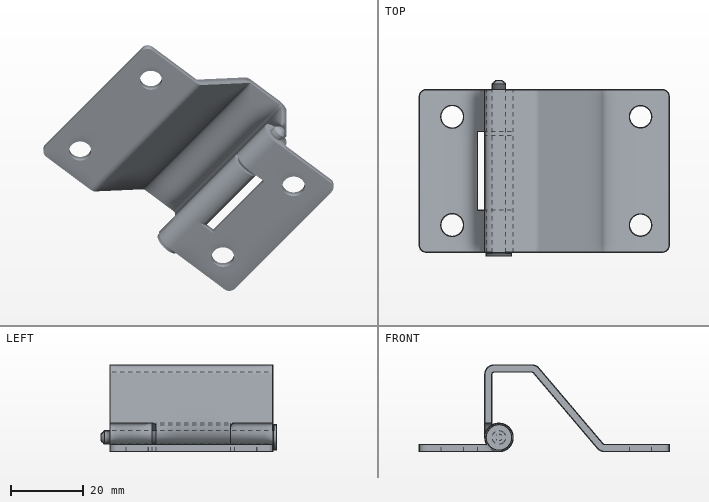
import cadquery as cq
import math

thickness = 2.0
leaf_width = 45.0
corner_radius = 2.0
inner_bend = 0.6
outer_bend = inner_bend + thickness

axis_x = 22.05
knuckle_radius = 3.95
axis_z = knuckle_radius
bore_radius = 1.9

total_length = 69.1
total_height = 24.0

slot_half = 10.85
slot_start_x = 16.2
flat_hole_x = 9.1
flat_hole_diameter = 6.2

wall_x = axis_x - knuckle_radius
bend_start_x = 31.1
slope_angle = math.radians(49.7)
notch_top = axis_z + knuckle_radius
notch_fillet = 1.05
end_gap = 1.1
foot_hole_x = 61.15
foot_hole_diameter = 6.1

hole_spacing_y = 29.9

pin_radius = bore_radius
head_radius = 3.5
head_gap = 0.2
head_length = 0.8
tip_length = 2.5
tip_chamfer = 1.0


def y_cylinder(radius, y_start, y_end):
    """Cylinder on the hinge axis between two Y positions."""
    plane = cq.Plane(origin=(axis_x, y_start, axis_z), xDir=(1, 0, 0), normal=(0, 1, 0))
    return cq.Workplane(plane).circle(radius).extrude(y_end - y_start)


def block(x_start, x_end, y_start, y_end, z_start, z_end):
    """Box between opposite corners."""
    size = (x_end - x_start, y_end - y_start, z_end - z_start)
    return cq.Workplane("XY").box(*size, centered=False).translate((x_start, y_start, z_start))


def screw_holes(x, diameter):
    """Pair of cutters for the mounting holes at one X position."""
    places = [(x, -hole_spacing_y / 2), (x, hole_spacing_y / 2)]
    return cq.Workplane("XY").pushPoints(places).circle(diameter / 2).extrude(thickness)


def make_flat_leaf():
    half = leaf_width / 2
    plate = block(0, axis_x, -half, half, 0, thickness)
    plate = plate.edges("|Z and <X").fillet(corner_radius)
    leaf = plate.union(y_cylinder(knuckle_radius, -half, half))
    leaf = leaf.cut(y_cylinder(bore_radius, -half, half))
    slot_end_x = axis_x + knuckle_radius
    leaf = leaf.cut(block(slot_start_x, slot_end_x, -slot_half, slot_half, 0, notch_top))
    return leaf.cut(screw_holes(flat_hole_x, flat_hole_diameter))


def cranked_strip():
    """Bent sheet: wall up from the hinge axis, flat top, slope down and foot."""
    corner_shift = thickness * math.tan(slope_angle / 2)
    top_corner_x = bend_start_x + outer_bend * math.tan(slope_angle / 2)
    foot_corner_x = top_corner_x + (total_height - thickness) / math.tan(slope_angle)
    strip = (
        cq.Workplane("XZ", origin=(0, leaf_width / 2, 0))
        .moveTo(wall_x, axis_z)
        .lineTo(wall_x, total_height)
        .lineTo(top_corner_x, total_height)
        .lineTo(foot_corner_x, thickness)
        .lineTo(total_length, thickness)
        .lineTo(total_length, 0)
        .lineTo(foot_corner_x - corner_shift, 0)
        .lineTo(top_corner_x - corner_shift, total_height - thickness)
        .lineTo(wall_x + thickness, total_height - thickness)
        .lineTo(wall_x + thickness, axis_z)
        .close()
        .extrude(leaf_width)
    )

    def bend(body, x, z, radius):
        edge = cq.selectors.NearestToPointSelector((x, 0, z))
        return body.edges("|Y").edges(edge).fillet(radius)

    inner_top = total_height - thickness
    strip = bend(strip, wall_x, total_height, outer_bend)
    strip = bend(strip, wall_x + thickness, inner_top, inner_bend)
    strip = bend(strip, top_corner_x, total_height, outer_bend)
    strip = bend(strip, top_corner_x - corner_shift, inner_top, inner_bend)
    strip = bend(strip, foot_corner_x, thickness, inner_bend)
    strip = bend(strip, foot_corner_x - corner_shift, 0, outer_bend)
    return strip.edges("|Z and >X").fillet(corner_radius)


def make_cranked_leaf():
    half = leaf_width / 2
    knuckle_start = -slot_half
    knuckle_end = slot_half - end_gap
    leaf = cranked_strip()
    notch_end_x = wall_x + thickness
    low_notch = block(wall_x, notch_end_x, -half, knuckle_start, 0, notch_top)
    high_notch = block(wall_x, notch_end_x, knuckle_end, half, 0, notch_top)
    leaf = leaf.cut(low_notch.edges("|X and >Y and >Z").fillet(notch_fillet))
    leaf = leaf.cut(high_notch.edges("|X and <Y and >Z").fillet(notch_fillet))
    leaf = leaf.cut(y_cylinder(knuckle_radius, -half, knuckle_start))
    leaf = leaf.union(y_cylinder(knuckle_radius, knuckle_start, knuckle_end))
    leaf = leaf.cut(y_cylinder(bore_radius, knuckle_start, knuckle_end))
    return leaf.cut(screw_holes(foot_hole_x, foot_hole_diameter))


def make_pin():
    half = leaf_width / 2
    head_start = -half - head_gap - head_length
    head = y_cylinder(head_radius, head_start, -half - head_gap)
    shank = y_cylinder(pin_radius, head_start, half + tip_length)
    shank = shank.faces(">Y").edges().chamfer(tip_chamfer)
    return head.union(shank)


flat_leaf = make_flat_leaf()
cranked_leaf = make_cranked_leaf()
pin = make_pin()

bodies = [flat_leaf, cranked_leaf, pin]
result = cq.Compound.makeCompound([body.solids().val() for body in bodies])